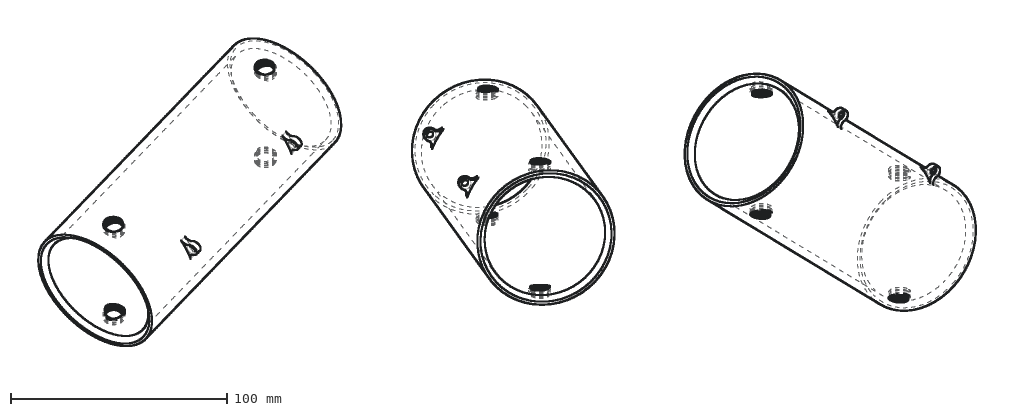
import cadquery as cq
import math

tube_length = 150.0
tube_diameter = 65.0
bore_diameter = 57.0
mouth_diameter = 62.0
mouth_depth = 2.5

thread_minor_diameter = 8.5
thread_major_diameter = 10.2
thread_pitch = 1.5
thread_groove_width = 1.2
thread_overlap = 0.2
thread_turns = 5
thread_start_heights = (-33.9, 26.1)
cross_hole_inset = 15.0

eyelet_diameter = 5.8
eyelet_hole_diameter = 3.2
eyelet_rim_radius = 0.9
eyelet_width = 3.0
eyelet_x = 31.0
eyelet_z = 18.0
eyelet_centres_y = (-40.0, 40.0)
foot_fillet_radius = 3.0

tube_radius = tube_diameter / 2
half_length = tube_length / 2


def cylinder_y(diameter, start_y, length, x=0.0, z=0.0):
    """Solid cylinder pointing along +Y from start_y."""
    base = cq.Vector(x, start_y, z)
    return cq.Workplane(cq.Solid.makeCylinder(diameter / 2, length, base, cq.Vector(0, 1, 0)))


def cone(start_diameter, end_diameter, depth, base, direction):
    """Solid cone frustum from base along direction."""
    return cq.Workplane(
        cq.Solid.makeCone(start_diameter / 2, end_diameter / 2, depth, cq.Vector(*base), cq.Vector(*direction))
    )


def eyelet_blank(centre_y):
    """Round eyelet body joined to the tube by a foot with a concave fillet on each side."""
    start_y = centre_y - eyelet_width / 2
    body = cylinder_y(eyelet_diameter, start_y, eyelet_width, eyelet_x, eyelet_z)

    stand_distance = math.hypot(eyelet_x, eyelet_z)
    stand_angle = math.degrees(math.atan2(eyelet_z, eyelet_x))
    to_tube = tube_radius + foot_fillet_radius
    to_eyelet = eyelet_diameter / 2 + foot_fillet_radius
    fillet_x = (stand_distance**2 + to_tube**2 - to_eyelet**2) / (2 * stand_distance)
    fillet_z = math.sqrt(to_tube**2 - fillet_x**2)

    foot = (
        cq.Workplane("XZ", origin=(0, start_y + eyelet_width, 0))
        .polyline([(0, 0), (fillet_x, fillet_z), (stand_distance, 0), (fillet_x, -fillet_z)])
        .close()
        .extrude(eyelet_width)
    )
    for side in (-1, 1):
        foot = foot.cut(
            cylinder_y(2 * foot_fillet_radius, start_y, eyelet_width, fillet_x, side * fillet_z)
        )
    foot = foot.rotate((0, 0, 0), (0, 1, 0), -stand_angle)
    return body.union(foot)


def eyelet_hole(centre_y):
    """Negative of an eyelet hole, widening in a quarter round towards each face."""
    hole_radius = eyelet_hole_diameter / 2
    rim_radius = hole_radius + eyelet_rim_radius
    half_width = eyelet_width / 2
    half_straight = half_width - eyelet_rim_radius
    diagonal = eyelet_rim_radius * math.sqrt(0.5)
    arc_x = rim_radius - diagonal
    arc_y = half_straight + diagonal
    hole = (
        cq.Workplane("XY")
        .moveTo(0, -half_width)
        .lineTo(rim_radius, -half_width)
        .threePointArc((arc_x, -arc_y), (hole_radius, -half_straight))
        .lineTo(hole_radius, half_straight)
        .threePointArc((arc_x, arc_y), (rim_radius, half_width))
        .lineTo(0, half_width)
        .close()
        .revolve(360, (0, 0, 0), (0, 1, 0))
    )
    return hole.translate((eyelet_x, centre_y, eyelet_z))


def threaded_hole(hole_y, start_z):
    """Negative of a threaded hole: a core with a right-handed V ridge that starts on the -X side."""
    minor_radius = thread_minor_diameter / 2
    inner_radius = minor_radius - thread_overlap
    major_radius = thread_major_diameter / 2
    half_width = thread_groove_width / 2
    path = cq.Wire.makeHelix(thread_pitch, thread_turns * thread_pitch, minor_radius)
    groove = (
        cq.Workplane("XZ")
        .polyline([(inner_radius, -half_width), (major_radius, 0), (inner_radius, half_width)])
        .close()
        .sweep(cq.Workplane(path), isFrenet=True)
    )
    core = cq.Workplane("XY").circle(minor_radius).extrude(thread_turns * thread_pitch)
    tool = core.union(groove)
    return tool.rotate((0, 0, 0), (0, 0, 1), 180).translate((0, hole_y, start_z))


result = cylinder_y(tube_diameter, -half_length, tube_length)
for centre_y in eyelet_centres_y:
    result = result.union(eyelet_blank(centre_y))

result = result.cut(cylinder_y(bore_diameter, -half_length, tube_length))
for end in (-1, 1):
    result = result.cut(
        cone(mouth_diameter, bore_diameter, mouth_depth, (0, end * half_length, 0), (0, -end, 0))
    )

for centre_y in eyelet_centres_y:
    result = result.cut(eyelet_hole(centre_y))

for end in (-1, 1):
    hole_y = end * (half_length - cross_hole_inset)
    for start_z in thread_start_heights:
        result = result.cut(threaded_hole(hole_y, start_z))